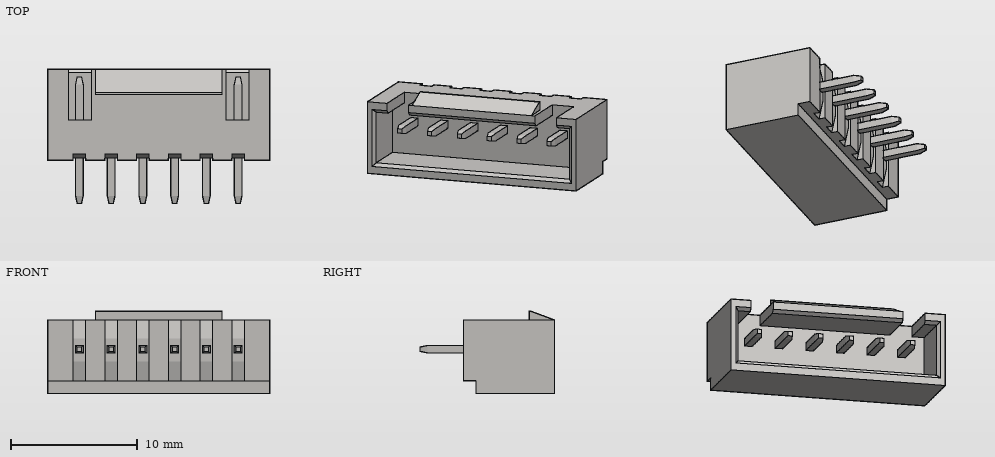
import cadquery as cq

length = 17.5
depth = 7.2
height = 5.81
step_size = 1.0

long_wall = 0.85
end_wall = 0.65
cavity_depth = 4.0
mouth_chamfer = 0.26

pin_count = 6
pin_pitch = 2.5
pin_height = 3.5
pin_width = 0.61
tip_width = 0.35
tip_length = 0.6
tail_length = 3.41
mouth_clearance = 0.63

slot_width = 1.8
slot_inset = 1.65

ridge_length = 10.01
ridge_depth = 2.0
ridge_height = 0.68
ridge_flat = 0.15

groove_width = 1.0
groove_shallow = 0.18
groove_deep = 0.5
groove_land = 1.8

pin_positions = [(i - (pin_count - 1) / 2) * pin_pitch for i in range(pin_count)]
slot_offset = length / 2 - slot_inset - slot_width / 2
cavity_length = length - 2 * end_wall
cavity_height = height - 2 * long_wall
cavity_floor = depth - cavity_depth


def box_from(x_center, y_min, z_min, x_size, y_size, z_size):
    """Box centred on x_center in X and starting at y_min and z_min."""
    box = cq.Workplane("XY").box(x_size, y_size, z_size, centered=(True, False, False))
    return box.translate((x_center, y_min, z_min))


def extrude_along_x(yz_points, x_center, x_size):
    """Prism with a YZ outline, centred on x_center."""
    prism = cq.Workplane("YZ").polyline(yz_points).close().extrude(x_size / 2, both=True)
    return prism.translate((x_center, 0, 0))


def make_housing():
    block = box_from(0, 0, 0, length, depth, height)
    notch = box_from(0, 0, 0, length, step_size, step_size)
    return block.cut(notch)


def make_cavity():
    pocket = box_from(0, cavity_floor, long_wall, cavity_length, cavity_depth, cavity_height)
    flare = (
        cq.Workplane("XZ", origin=(0, depth - mouth_chamfer, height / 2))
        .rect(cavity_length, cavity_height)
        .workplane(offset=-mouth_chamfer)
        .rect(cavity_length + 2 * mouth_chamfer, cavity_height + 2 * mouth_chamfer)
        .loft(combine=True)
    )
    return pocket.union(flare)


def make_slot(x_center):
    slot_bottom = height / 2
    return box_from(x_center, cavity_floor, slot_bottom, slot_width, cavity_depth, height - slot_bottom)


def make_ridge():
    ridge_rear = depth - ridge_depth
    ridge_top = height + ridge_height
    outline = [
        (depth, height),
        (ridge_rear, height),
        (ridge_rear, ridge_top),
        (ridge_rear + ridge_flat, ridge_top),
    ]
    return extrude_along_x(outline, 0, ridge_length)


def make_groove(x_center):
    """Groove that deepens towards its top and bottom ends."""
    middle = (step_size + height) / 2
    outline = [
        (0, step_size),
        (groove_deep, step_size),
        (groove_shallow, middle - groove_land / 2),
        (groove_shallow, middle + groove_land / 2),
        (groove_deep, height),
        (0, height),
    ]
    return extrude_along_x(outline, x_center, groove_width)


def make_pin(x_center):
    """Square pin with a tapered tip at both ends."""
    shaft_start = -tail_length + tip_length
    shaft_end = depth - mouth_clearance - tip_length
    pin = (
        cq.Workplane("XZ", origin=(x_center, shaft_start, pin_height))
        .rect(pin_width, pin_width)
        .extrude(shaft_start - shaft_end)
    )
    for end_face in ("<Y", ">Y"):
        tip = (
            pin.faces(end_face)
            .workplane()
            .rect(pin_width, pin_width)
            .workplane(offset=tip_length)
            .rect(tip_width, tip_width)
            .loft(combine=False)
        )
        pin = pin.union(tip)
    return pin


result = make_housing().union(make_ridge()).cut(make_cavity())

for x in (-slot_offset, slot_offset):
    result = result.cut(make_slot(x))

for x in pin_positions:
    result = result.cut(make_groove(x))

for x in pin_positions:
    result = result.union(make_pin(x))